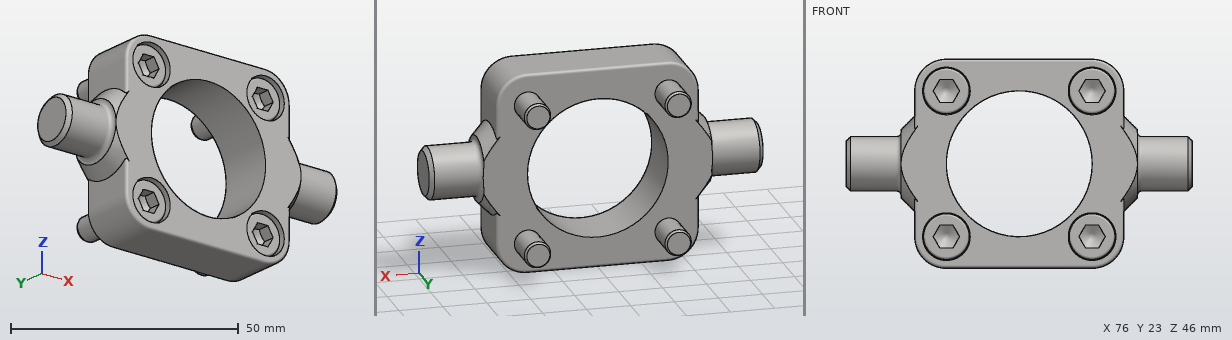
import cadquery as cq
import math


block_side = 46.0
block_depth = 14.0
block_edge_radius = 0.7
bore_diameter = 32.0
screw_offset = bore_diameter / 2
corner_radius = block_side / 2 - screw_offset

overall_length = 76
pin_radius = 12.0 / 2
pin_chamfer = 1.0
pin_fillet = 1.0
cone_base_radius = 10.5
cone_tip_radius = 7.5
trunnion_axis_y = cone_tip_radius
cone_root_overlap = 0.75

head_diameter = 10.0
head_height = 6.0
head_recess = 1.0
head_edge_radius = 0.5
counterbore_diameter = 10.5
socket_across_flats = 5.0
socket_depth = 3.05
socket_tip_angle = 120
shank_diameter = 6.0
shank_end_y = 23.0
shank_tip_length = 0.7
shank_tip_inset = 0.4
head_seat_y = head_recess + head_height


def cylinder_along_y(diameter, y_start, y_end):
    """Cylinder on the Y axis between two Y positions."""
    return cq.Workplane("XZ", origin=(0, y_start, 0)).circle(diameter / 2).extrude(y_start - y_end)


def make_block():
    """Square block with rounded corners and softened front and back edges."""
    return (
        cq.Workplane("XZ")
        .rect(block_side, block_side)
        .extrude(-block_depth)
        .edges("|Y")
        .fillet(corner_radius)
        .faces("<Y or >Y")
        .edges()
        .fillet(block_edge_radius)
    )


def make_trunnion():
    """Pin on a 45 degree cone at the +X side, trimmed flush with the front and back of the block."""
    root_x = block_side / 2 - cone_root_overlap
    cone_tip_x = block_side / 2 + cone_base_radius - cone_tip_radius
    end_x = overall_length / 2
    turned = (
        cq.Workplane("XY", origin=(0, trunnion_axis_y, 0))
        .moveTo(root_x, 0)
        .lineTo(root_x, cone_base_radius + cone_root_overlap)
        .lineTo(cone_tip_x, cone_tip_radius)
        .lineTo(cone_tip_x, pin_radius + pin_fillet)
        .radiusArc((cone_tip_x + pin_fillet, pin_radius), -pin_fillet)
        .lineTo(end_x - pin_chamfer, pin_radius)
        .lineTo(end_x, pin_radius - pin_chamfer)
        .lineTo(end_x, 0)
        .close()
        .revolve(360, (0, 0, 0), (1, 0, 0))
    )
    trim = cq.Workplane("XY").box(overall_length, block_depth, block_side, centered=(True, False, True))
    return turned.intersect(trim)


def make_socket():
    """Hexagonal recess with a drill-point bottom, cut into the screw head."""
    corner_circle_diameter = socket_across_flats / math.cos(math.pi / 6)
    corner_circle_radius = corner_circle_diameter / 2
    tip_depth = corner_circle_radius / math.tan(math.radians(socket_tip_angle / 2))
    socket_end_y = head_recess + socket_depth
    drill = (
        cq.Workplane("XY")
        .moveTo(0, head_recess)
        .lineTo(corner_circle_radius, head_recess)
        .lineTo(corner_circle_radius, socket_end_y)
        .lineTo(0, socket_end_y + tip_depth)
        .close()
        .revolve(360, (0, 0, 0), (0, 1, 0))
    )
    hexagon = (
        cq.Workplane("XZ", origin=(0, head_recess, 0))
        .polygon(6, corner_circle_diameter)
        .extrude(-socket_depth - tip_depth)
    )
    return hexagon.intersect(drill)


def make_screw():
    """Socket head screw on the Y axis with its head towards -Y."""
    head_radius = head_diameter / 2
    shank_radius = shank_diameter / 2
    turned = (
        cq.Workplane("XY")
        .moveTo(0, head_recess)
        .lineTo(head_radius - head_edge_radius, head_recess)
        .radiusArc((head_radius, head_recess + head_edge_radius), -head_edge_radius)
        .lineTo(head_radius, head_seat_y)
        .lineTo(shank_radius, head_seat_y)
        .lineTo(shank_radius, shank_end_y - shank_tip_length)
        .lineTo(shank_radius - shank_tip_inset, shank_end_y)
        .lineTo(0, shank_end_y)
        .close()
        .revolve(360, (0, 0, 0), (0, 1, 0))
    )
    return turned.cut(make_socket())


trunnion = make_trunnion()
body = make_block().union(trunnion).union(trunnion.mirror("YZ"))
body = body.cut(cylinder_along_y(bore_diameter, 0, block_depth))

counterbore = cylinder_along_y(counterbore_diameter, 0, head_seat_y)
screw = make_screw()
for x_side in (-1, 1):
    for z_side in (-1, 1):
        position = (x_side * screw_offset, 0, z_side * screw_offset)
        body = body.cut(counterbore.translate(position))
        body = body.union(screw.translate(position))

result = body